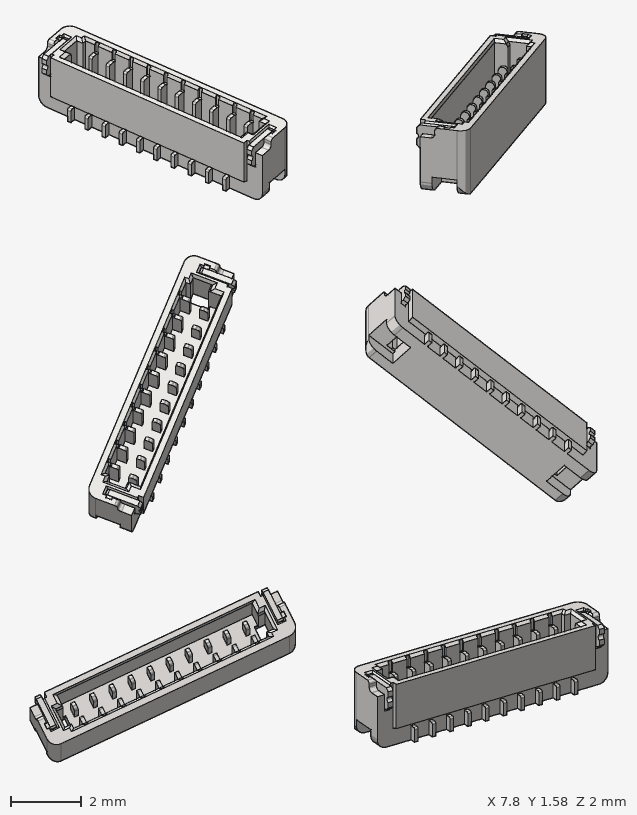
import cadquery as cq

LENGTH = 7.8
HEIGHT = 2.0
HALF_LENGTH = LENGTH / 2
BACK_Y = 1.58
BODY_FRONT_Y = 0.18
CORNER_RADIUS = 0.305

SHROUD_HALF_LENGTH = 3.37
SHROUD_FRONT_Y = 0.02
SHROUD_FRONT_BASE_Z = 0.59
SHROUD_ROOT_BASE_Z = 0.54

CAVITY_FLOOR_Z = 0.6
LEAD_IN_DEPTH = 0.085
BAY_HALF_LENGTH = 3.07
BAY_FRONT_Y = 0.235
BAY_BACK_Y = 1.32
BAY_END_LEAD_IN = 0.11
BAY_FRONT_LEAD_IN = 0.04
BAY_BACK_LEAD_IN = 0.08
KEY_HALF_LENGTH = 3.28
KEY_FRONT_Y = 0.585
KEY_SILL_Y = 0.63
KEY_SILL_DEPTH = 0.18
KEY_BACK_Y = 1.18
KEY_END_LEAD_IN = 0.085
KEY_FRONT_LEAD_IN = 0.11
KEY_BACK_LEAD_IN = 0.09

WINDOW_INNER_X = 2.97
RECESS_FRONT_Y = 0.53
RECESS_BACK_Y = 1.27
RECESS_HEIGHT = 0.49

CONTACT_COUNT = 10
CONTACT_PITCH = 0.6
CONTACT_WIDTH = 0.12
TAIL_HEIGHT = 0.45
TAIL_ROUND = 0.055
GROOVE_BACK_Y = 1.38
REAR_BLADE_FRONT_Y = 1.04
REAR_BLADE_TOP_Z = 1.67
REAR_BLADE_BACK_Y = 1.3
REAR_BLADE_HEEL_Z = 1.63
REAR_BLADE_ROUND = 0.055
REAR_BLADE_SLOPE = 0.04
FRONT_BLADE_FRONT_Y = 0.475
FRONT_BLADE_BACK_Y = 0.73
FRONT_BLADE_TOP_Z = 1.365
FRONT_BLADE_ROUND = 0.12

TAB_OUTER_X = 3.66
TAB_INNER_X = 3.49
TAB_BACK_Y = 1.08
TAB_TOP_Z = 1.94
TAB_LEG_BASE_Z = 1.24
TAB_ARM_BASE_Z = 1.685
TAB_CHAMFER = 0.09
TAB_BACK_CHAMFER = 0.07
TAB_NOTCH_MID_Z = 1.59
TAB_NOTCH_HALF_HEIGHT = 0.085
TAB_NOTCH_DEPTH = 0.055
LEG_RECESS_BASE_Z = 1.16
LEG_RECESS_DEPTH = 0.09
SLOT_CLEARANCE = 0.05
SLOT_BACK_CLEARANCE = 0.06
SLOT_POCKET_Y = (0.85, 1.02)
SLOT_POCKET_OUTER_X = 3.77
SLOT_POCKET_DEPTH = 0.08

STEP_WALL_Y = 0.61
STEP_FLOOR_Z = 1.685
STEP_TOP_RADIUS = 0.09
STEP_FLOOR_RADIUS = 0.125


def box(x_range, y_range, z_range):
    """Box spanning the given ranges along X, Y and Z."""
    size = [high - low for low, high in (x_range, y_range, z_range)]
    corner = (x_range[0], y_range[0], z_range[0])
    return cq.Workplane("XY").box(*size, centered=False).translate(corner)


def rectangle_wire(x_range, y_range, z):
    """Closed rectangle at height z."""
    (x0, x1), (y0, y1) = x_range, y_range
    return cq.Wire.makePolygon([(x0, y0, z), (x1, y0, z), (x1, y1, z), (x0, y1, z)], close=True)


def funnel(lower_x, lower_y, lower_z, upper_x, upper_y):
    """Tapered opening that widens up to the top of the housing."""
    lower = rectangle_wire(lower_x, lower_y, lower_z)
    upper = rectangle_wire(upper_x, upper_y, HEIGHT)
    return cq.Workplane(obj=cq.Solid.makeLoft([lower, upper], True))


def side_extrusion(profile_yz, x_start, x_end):
    """Extrude a closed YZ sketch between two X positions."""
    return profile_yz.extrude(x_end - x_start).translate((x_start, 0, 0))


def mirrored_pair(shape):
    """Shape together with its copy at the opposite end of the part."""
    return shape.union(shape.mirror("YZ"))


def housing():
    """Block with rounded back corners and rounded ends of the base, plus the raised front wall."""
    block = box((-HALF_LENGTH, HALF_LENGTH), (BODY_FRONT_Y, BACK_Y), (0, HEIGHT))
    block = block.edges("|Z and >Y").fillet(CORNER_RADIUS)
    base_outline = (
        cq.Workplane("XZ")
        .rect(LENGTH, 2 * HEIGHT)
        .extrude(-BACK_Y)
        .translate((0, 0, HEIGHT))
        .edges("|Y and <Z")
        .fillet(CORNER_RADIUS)
    )
    shroud_profile = cq.Workplane("YZ").polyline([
        (SHROUD_FRONT_Y, HEIGHT),
        (SHROUD_FRONT_Y, SHROUD_FRONT_BASE_Z),
        (BODY_FRONT_Y, SHROUD_ROOT_BASE_Z),
        (BODY_FRONT_Y, HEIGHT),
    ]).close()
    shroud = side_extrusion(shroud_profile, -SHROUD_HALF_LENGTH, SHROUD_HALF_LENGTH)
    return block.intersect(base_outline).union(shroud)


def lead_in(half_length, front_y, back_y, end_width, front_width, back_width):
    """Funnel around the mouth of a bay, given the width of its sloping faces."""
    mouth_half_length = half_length + end_width
    return funnel(
        (-half_length, half_length),
        (front_y, back_y),
        HEIGHT - LEAD_IN_DEPTH,
        (-mouth_half_length, mouth_half_length),
        (front_y - front_width, back_y + back_width),
    )


def contact_bay():
    """Long bay around the contacts."""
    bay = box((-BAY_HALF_LENGTH, BAY_HALF_LENGTH), (BAY_FRONT_Y, BAY_BACK_Y), (CAVITY_FLOOR_Z, HEIGHT))
    return bay.union(lead_in(
        BAY_HALF_LENGTH, BAY_FRONT_Y, BAY_BACK_Y,
        BAY_END_LEAD_IN, BAY_FRONT_LEAD_IN, BAY_BACK_LEAD_IN,
    ))


def key_bay():
    """Narrower bay reaching further out, with a steep sill below its front lead-in."""
    profile = cq.Workplane("YZ").polyline([
        (KEY_SILL_Y, CAVITY_FLOOR_Z),
        (KEY_BACK_Y, CAVITY_FLOOR_Z),
        (KEY_BACK_Y, HEIGHT),
        (KEY_FRONT_Y, HEIGHT),
        (KEY_FRONT_Y, HEIGHT - LEAD_IN_DEPTH),
        (KEY_SILL_Y, HEIGHT - KEY_SILL_DEPTH),
    ]).close()
    bay = side_extrusion(profile, -KEY_HALF_LENGTH, KEY_HALF_LENGTH)
    return bay.union(lead_in(
        KEY_HALF_LENGTH, KEY_FRONT_Y, KEY_BACK_Y,
        KEY_END_LEAD_IN, KEY_FRONT_LEAD_IN, KEY_BACK_LEAD_IN,
    ))


def end_openings():
    """Recesses under the ends, and windows from them up into the cavity."""
    recess = box(
        (WINDOW_INNER_X, HALF_LENGTH), (RECESS_FRONT_Y, RECESS_BACK_Y), (0, RECESS_HEIGHT)
    )
    key_window = box(
        (WINDOW_INNER_X, KEY_HALF_LENGTH), (KEY_SILL_Y, KEY_BACK_Y), (0, CAVITY_FLOOR_Z)
    )
    bay_window = box(
        (WINDOW_INNER_X, BAY_HALF_LENGTH), (KEY_FRONT_Y, KEY_BACK_Y), (0, CAVITY_FLOOR_Z)
    )
    return mirrored_pair(recess.union(key_window).union(bay_window))


def tab_steps():
    """Cuts outside the tabs, with an S-shaped wall and a flat floor."""
    step_profile = (
        cq.Workplane("YZ")
        .moveTo(0, HEIGHT)
        .lineTo(0, STEP_FLOOR_Z)
        .lineTo(STEP_WALL_Y - STEP_FLOOR_RADIUS, STEP_FLOOR_Z)
        .radiusArc((STEP_WALL_Y, STEP_FLOOR_Z + STEP_FLOOR_RADIUS), -STEP_FLOOR_RADIUS)
        .lineTo(STEP_WALL_Y, HEIGHT - STEP_TOP_RADIUS)
        .radiusArc((STEP_WALL_Y + STEP_TOP_RADIUS, HEIGHT), STEP_TOP_RADIUS)
        .close()
    )
    return mirrored_pair(side_extrusion(step_profile, TAB_OUTER_X, HALF_LENGTH))


def tab_slots():
    """Flared slots that hold the tabs, each with a small pocket on its outer side."""
    tab_x = (TAB_INNER_X, TAB_OUTER_X)
    tab_y = (0, TAB_BACK_Y)
    mouth_x = (TAB_INNER_X - SLOT_CLEARANCE, TAB_OUTER_X + SLOT_CLEARANCE)
    mouth_y = (0, TAB_BACK_Y + SLOT_BACK_CLEARANCE)
    flare = funnel(tab_x, tab_y, TAB_TOP_Z, mouth_x, mouth_y)
    slot = box(tab_x, tab_y, (TAB_ARM_BASE_Z, TAB_TOP_Z))
    pocket = box(
        (TAB_OUTER_X, SLOT_POCKET_OUTER_X), SLOT_POCKET_Y, (HEIGHT - SLOT_POCKET_DEPTH, HEIGHT)
    )
    return mirrored_pair(slot.union(flare).union(pocket))


def leg_recesses():
    """Shallow recesses in the front face just below the tab legs."""
    recess = box(
        (TAB_INNER_X, TAB_OUTER_X),
        (BODY_FRONT_Y, BODY_FRONT_Y + LEG_RECESS_DEPTH),
        (LEG_RECESS_BASE_Z, TAB_LEG_BASE_Z),
    )
    return mirrored_pair(recess)


def solder_tabs():
    """L-shaped tabs with bevelled ends and a round notch in the front of the leg."""
    profile = (
        cq.Workplane("YZ")
        .moveTo(TAB_BACK_Y, TAB_ARM_BASE_Z)
        .lineTo(TAB_BACK_Y, TAB_TOP_Z - TAB_BACK_CHAMFER)
        .lineTo(TAB_BACK_Y - TAB_BACK_CHAMFER, TAB_TOP_Z)
        .lineTo(TAB_CHAMFER, TAB_TOP_Z)
        .lineTo(0, TAB_TOP_Z - TAB_CHAMFER)
        .lineTo(0, TAB_NOTCH_MID_Z + TAB_NOTCH_HALF_HEIGHT)
        .threePointArc(
            (TAB_NOTCH_DEPTH, TAB_NOTCH_MID_Z), (0, TAB_NOTCH_MID_Z - TAB_NOTCH_HALF_HEIGHT)
        )
        .lineTo(0, TAB_LEG_BASE_Z + TAB_CHAMFER)
        .lineTo(TAB_CHAMFER, TAB_LEG_BASE_Z)
        .lineTo(BODY_FRONT_Y, TAB_LEG_BASE_Z)
        .lineTo(BODY_FRONT_Y, TAB_ARM_BASE_Z)
        .close()
    )
    return mirrored_pair(side_extrusion(profile, TAB_INNER_X, TAB_OUTER_X))


def contact_row(contact):
    """Copies of one contact feature spread along the part."""
    first_x = -CONTACT_PITCH * (CONTACT_COUNT - 1) / 2
    row = cq.Workplane("XY")
    for index in range(CONTACT_COUNT):
        row = row.add(contact.translate((first_x + index * CONTACT_PITCH, 0, 0)))
    return row.combine()


def contact_box(y_range, z_range):
    """Box as wide as one contact."""
    return box((-CONTACT_WIDTH / 2, CONTACT_WIDTH / 2), y_range, z_range)


def contact_tails():
    """Solder tails standing out of the front face at the base."""
    tail = contact_box((0, BODY_FRONT_Y), (0, TAIL_HEIGHT))
    return contact_row(tail.edges("|X and <Y and >Z").fillet(TAIL_ROUND))


def rear_grooves():
    """Grooves in the back wall of the cavity above the rear blades."""
    return contact_row(contact_box((BAY_BACK_Y, GROOVE_BACK_Y), (CAVITY_FLOOR_Z, HEIGHT)))


def rear_blades():
    """Tall blades with a rounded front and a sloped back, on a lower heel seated in the groove."""
    profile = cq.Workplane("YZ").polyline([
        (REAR_BLADE_FRONT_Y, CAVITY_FLOOR_Z),
        (REAR_BLADE_FRONT_Y, REAR_BLADE_TOP_Z),
        (REAR_BLADE_BACK_Y - REAR_BLADE_SLOPE, REAR_BLADE_TOP_Z),
        (REAR_BLADE_BACK_Y, REAR_BLADE_HEEL_Z),
        (GROOVE_BACK_Y, REAR_BLADE_HEEL_Z),
        (GROOVE_BACK_Y, CAVITY_FLOOR_Z),
    ]).close()
    blade = side_extrusion(profile, -CONTACT_WIDTH / 2, CONTACT_WIDTH / 2)
    return contact_row(blade.edges("|X and <Y and >Z").fillet(REAR_BLADE_ROUND))


def front_blades():
    """Shorter free-standing blades with rounded tips."""
    blade = contact_box(
        (FRONT_BLADE_FRONT_Y, FRONT_BLADE_BACK_Y), (CAVITY_FLOOR_Z, FRONT_BLADE_TOP_Z)
    )
    return contact_row(blade.edges("|X and >Z").fillet(FRONT_BLADE_ROUND))


result = housing().cut(contact_bay()).cut(key_bay()).cut(end_openings())
result = result.cut(tab_steps()).cut(tab_slots()).cut(leg_recesses()).cut(rear_grooves())
for metal in (solder_tabs(), contact_tails(), rear_blades(), front_blades()):
    result = result.union(metal)